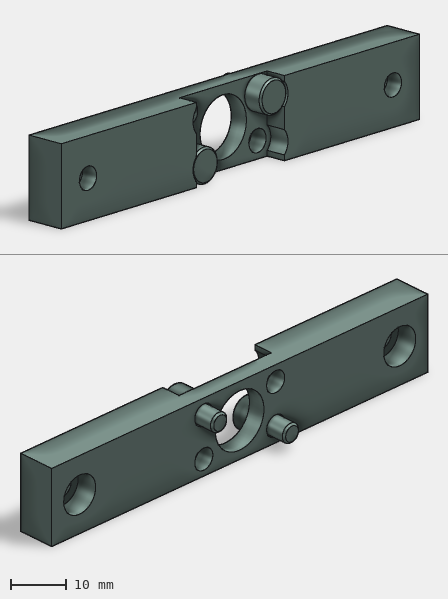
import cadquery as cq

plate_length = 94.0
plate_height = 16.0
plate_thickness = 8.0

recess_length = 23.0
web_thickness = 3.8
center_bore_diameter = 12.1

mount_spacing = 80.0
clearance_diameter = 4.5
mount_counterbore_diameter = 8.0
mount_counterbore_depth = 4.5

screw_spacing_y = 18.0
screw_spacing_z = 9.0

shank_diameter = 4.0
head_diameter = 7.0
head_height = 4.0
screw_projection = 4.2
tip_chamfer = 0.42
head_chamfer = 0.4
head_bottom_fillet = 0.2

mount_positions = [(side * mount_spacing / 2, 0) for side in (-1, 1)]
screw_hole_positions = [
    (side_y * screw_spacing_y / 2, side_z * screw_spacing_z / 2)
    for side_y in (-1, 1)
    for side_z in (-1, 1)
]
screw_positions = [(y, z) for y, z in screw_hole_positions if y * z > 0]


def cylinders_along_x(positions, diameter, start_x, length):
    """Cylinders at (Y, Z) positions, running from start_x towards +X."""
    return (
        cq.Workplane("YZ", origin=(start_x, 0, 0))
        .pushPoints(positions)
        .circle(diameter / 2)
        .extrude(length)
    )


def make_plate():
    plate = cq.Workplane("XY").box(
        plate_thickness, plate_length, plate_height, centered=(False, True, True)
    )
    recess_depth = plate_thickness - web_thickness
    recess = (
        cq.Workplane("XY")
        .box(recess_depth, recess_length, plate_height, centered=(False, True, True))
        .translate((web_thickness, 0, 0))
    )
    plate = plate.cut(recess)

    head_seats = cylinders_along_x(screw_hole_positions, head_diameter, web_thickness, recess_depth)
    screw_holes = cylinders_along_x(screw_hole_positions, clearance_diameter, 0, web_thickness)
    center_bore = cylinders_along_x([(0, 0)], center_bore_diameter, 0, web_thickness)
    plate = plate.cut(head_seats).cut(screw_holes).cut(center_bore)

    mount_holes = cylinders_along_x(mount_positions, clearance_diameter, 0, plate_thickness)
    mount_counterbores = cylinders_along_x(
        mount_positions, mount_counterbore_diameter, 0, mount_counterbore_depth
    )
    return plate.cut(mount_holes).cut(mount_counterbores)


def make_screw(position):
    """Cap screw whose head rests on the recess floor and whose tip points to -X."""
    shank_length = screw_projection + web_thickness
    shank = cylinders_along_x([position], shank_diameter, -screw_projection, shank_length)
    shank = shank.faces("<X").chamfer(tip_chamfer)
    head = cylinders_along_x([position], head_diameter, web_thickness, head_height)
    head = head.faces(">X").edges().chamfer(head_chamfer)
    head = head.faces("<X").edges().fillet(head_bottom_fillet)
    return shank.union(head)


plate = make_plate()
screws = [make_screw(position) for position in screw_positions]

result = cq.Compound.makeCompound([plate.val(), *[screw.val() for screw in screws]])